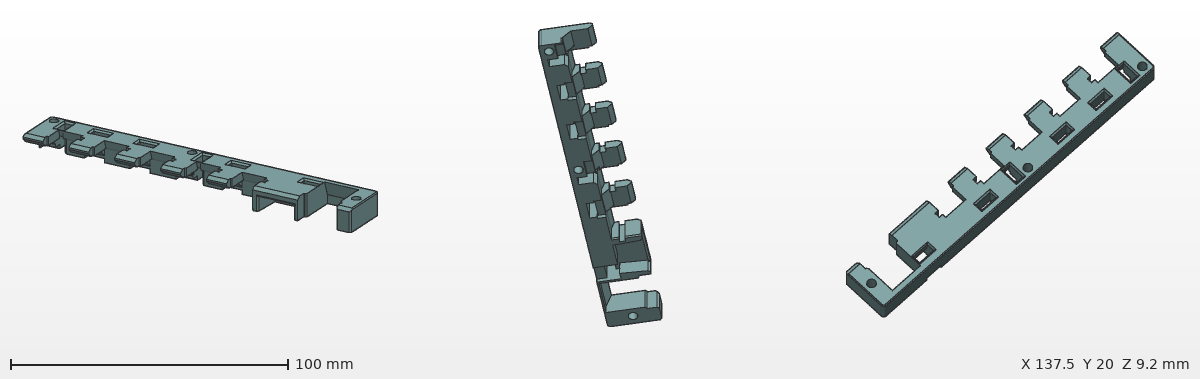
import cadquery as cq

LENGTH = 137.5
DEPTH = 20.0
HEIGHT = 9.2
CORNER_RADIUS = 1.2
TOP_CHAMFER = 0.4

TOOTH_COUNT = 5
TOOTH_PITCH = 19.2
TOOTH_WIDTH = 8.4
TOOTH_SHOULDER = 0.7
SHOULDER_Y = 2.9
TOOTH_UNDERSIDE_Z = 5.8
NOSE_TOP_Y = 1.5
NOSE_TOP_Z = 8.1
NOSE_LOW_Z = 7.4
NOSE_LOW_Y = NOSE_LOW_Z - TOOTH_UNDERSIDE_Z
NOTCH_WIDTH = 1.6
NOTCH_FRONT_Y = 6.0
NOTCH_BACK_Y = 8.2

GAP_BACK_Y = 9.9
RAMP_FRONT_Y = 8.0
RAMP_LOW_Z = 2.8
RAIL_FRONT_Y = RAMP_FRONT_Y + TOOTH_UNDERSIDE_Z - RAMP_LOW_Z
RAIL_CORNER_CHAMFER = 0.5
RECESS_HEIGHT = 1.6
RECESS_DEPTH = 3.0
RECESS_END_MARGIN = 0.7

HOOD_LEFT = TOOTH_COUNT * TOOTH_PITCH
HOOD_NECK_RIGHT = 116.3
HOOD_FRONT_RIGHT = 115.2
HOOD_FOOT_BEVEL_WIDTH = 0.3
HOOD_FOOT_BEVEL_HEIGHT = 0.7
CAVITY_LEFT = 99.1
CAVITY_RIGHT = 112.9
CAVITY_DRAFT = 0.5
CAVITY_MOUTH_BEVEL = 0.7

BAY_BACK_Y = 17.3
BAY_BACK_LOW_Y = 19.2
BAY_BACK_LOW_Z = 3.6
BAY_STEP_LOW_Y = 4.4
BAY_STEP_HIGH_Y = 5.0
BAY_STEP_BEVEL = BAY_STEP_HIGH_Y - BAY_STEP_LOW_Y
BLOCK_LEFT = 130.5
BLOCK_FRONT_LEFT = 131.3
BLOCK_CORNER_CHAMFER = 0.7

HOLE_DIAMETER = 3.5
HOLE_CENTERS = [(3.3, 16.5), (61.2, 16.5), (133.9, 10.0)]
OPENING_BEVEL = 0.7
FRONT_RIM_BEVEL = 0.4
WINDOW_LENGTH = 8.4
WINDOW_WIDTH = 4.4
WINDOW_FRONT_Y = 13.0
WINDOW_TEETH = (1, 2, 4)
HOOD_WINDOW_LEFT = 107.8
HOOD_WINDOW_FRONT_Y = 12.4
SLOT_MOUTHS = ((0, RAMP_FRONT_Y), (3, 9.6))
SLOT_OFFSET = 6.5
SLOT_WIDTH = 4.7
SLOT_FRONT_Y = 10.3
SLOT_LENGTH = 8.1
SLOT_MOUTH_FLARE = 1.2


def box(x0, x1, y0, y1, z0, z1):
    return cq.Workplane("XY").box(x1 - x0, y1 - y0, z1 - z0, centered=False).translate((x0, y0, z0))


def side_profile(points, x0, x1):
    """Extrude an outline of (y, z) points from x0 to x1."""
    return cq.Workplane("YZ", origin=(x0, 0, 0)).polyline(points).close().extrude(x1 - x0)


def plan_profile(points, z0, z1):
    """Extrude an outline of (x, y) points from z0 to z1."""
    return cq.Workplane("XY", origin=(0, 0, z0)).polyline(points).close().extrude(z1 - z0)


def tooth_left(index):
    return index * TOOTH_PITCH


def tooth_right(index):
    return tooth_left(index) + TOOTH_WIDTH


def blank():
    """Full block with rounded rear corners, a chamfered top rim and a bevelled front nose."""
    body = box(0, LENGTH, 0, DEPTH, 0, HEIGHT)
    body = body.edges("|Z and >Y").fillet(CORNER_RADIUS)
    body = body.edges("|Z and >X and <Y").chamfer(BLOCK_CORNER_CHAMFER)
    body = body.faces(">Z").edges("not <Y").chamfer(TOP_CHAMFER)
    nose = side_profile([(0, NOSE_TOP_Z), (NOSE_TOP_Y, HEIGHT), (0, HEIGHT)], 0, LENGTH)
    return body.cut(nose)


def tooth_undercut():
    """Space below the teeth, with a sloped lip at the front and a ramp down to the rail."""
    outline = [
        (0, 0),
        (0, NOSE_LOW_Z),
        (NOSE_LOW_Y, TOOTH_UNDERSIDE_Z),
        (RAMP_FRONT_Y, TOOTH_UNDERSIDE_Z),
        (RAIL_FRONT_Y, RAMP_LOW_Z),
        (RAIL_FRONT_Y, 0),
    ]
    return side_profile(outline, 0, HOOD_LEFT)


def rail_corner_chamfer():
    """Vertical chamfer where the rail meets the left end face."""
    chamfer_end_y = RAIL_FRONT_Y + RAIL_CORNER_CHAMFER
    corner = [(0, RAIL_FRONT_Y), (RAIL_CORNER_CHAMFER, RAIL_FRONT_Y), (0, chamfer_end_y)]
    return plan_profile(corner, 0, RAMP_LOW_Z)


def tooth_gap(index):
    """Gap to the right of a tooth; its rear face leans back below the top plate."""
    left = tooth_right(index)
    shoulder = left + TOOTH_SHOULDER
    right = tooth_left(index + 1)
    outline = [
        (0, 0),
        (0, HEIGHT),
        (GAP_BACK_Y, HEIGHT),
        (RAIL_FRONT_Y, TOOTH_UNDERSIDE_Z),
        (RAIL_FRONT_Y, 0),
    ]
    gap = side_profile(outline, shoulder, right)
    tip_relief = box(left, shoulder, 0, SHOULDER_Y, 0, HEIGHT)
    notch = box(right, right + NOTCH_WIDTH, NOTCH_FRONT_Y, NOTCH_BACK_Y, 0, HEIGHT)
    ramp_relief = box(left, shoulder, 0, RAIL_FRONT_Y, 0, TOOTH_UNDERSIDE_Z)
    return gap.union(tip_relief).union(ramp_relief).union(notch)


def rail_recess(index):
    """Low cut in the foot of the rail under a tooth."""
    left = max(tooth_left(index), RECESS_END_MARGIN)
    right = tooth_right(index)
    return box(left, right, RAIL_FRONT_Y, RAIL_FRONT_Y + RECESS_DEPTH, 0, RECESS_HEIGHT)


def hood_cavity():
    """Pocket below the hood with drafted side walls and a bevelled front mouth."""
    bevel = CAVITY_MOUTH_BEVEL
    throat_left = CAVITY_LEFT - CAVITY_DRAFT
    throat_right = CAVITY_RIGHT + CAVITY_DRAFT
    outline = [
        (throat_left - bevel, 0),
        (throat_right + bevel, 0),
        (throat_right, bevel),
        (CAVITY_RIGHT, RAIL_FRONT_Y),
        (CAVITY_LEFT, RAIL_FRONT_Y),
        (throat_left, bevel),
    ]
    pocket = plan_profile(outline, 0, TOOTH_UNDERSIDE_Z)
    lip = side_profile(
        [(0, TOOTH_UNDERSIDE_Z), (0, TOOTH_UNDERSIDE_Z + bevel), (bevel, TOOTH_UNDERSIDE_Z)],
        throat_left - bevel,
        throat_right + bevel,
    )
    return pocket.union(lip)


def hood_foot_bevel():
    """Steep bevel along the outer foot of the left hood wall."""
    outline = [
        (HOOD_LEFT, 0),
        (HOOD_LEFT + HOOD_FOOT_BEVEL_WIDTH, 0),
        (HOOD_LEFT, HOOD_FOOT_BEVEL_HEIGHT),
    ]
    return cq.Workplane("XZ").polyline(outline).close().extrude(-RAIL_FRONT_Y)


def bay():
    """Deep bay beside the end block; it narrows behind small bevelled steps."""
    front_outline = [
        (HOOD_FRONT_RIGHT, 0),
        (BLOCK_FRONT_LEFT + BLOCK_CORNER_CHAMFER, 0),
        (BLOCK_FRONT_LEFT, BLOCK_CORNER_CHAMFER),
        (BLOCK_FRONT_LEFT, BAY_STEP_LOW_Y),
        (BLOCK_LEFT + BAY_STEP_BEVEL, BAY_STEP_LOW_Y),
        (BLOCK_LEFT, BAY_STEP_HIGH_Y),
        (HOOD_NECK_RIGHT, BAY_STEP_HIGH_Y),
        (HOOD_NECK_RIGHT - BAY_STEP_BEVEL, BAY_STEP_LOW_Y),
        (HOOD_FRONT_RIGHT, BAY_STEP_LOW_Y),
    ]
    rear_outline = [
        (BAY_STEP_HIGH_Y, 0),
        (BAY_STEP_HIGH_Y, HEIGHT),
        (BAY_BACK_Y, HEIGHT),
        (BAY_BACK_LOW_Y, BAY_BACK_LOW_Z),
        (BAY_BACK_LOW_Y, 0),
    ]
    front = plan_profile(front_outline, 0, HEIGHT)
    return front.union(side_profile(rear_outline, HOOD_NECK_RIGHT, BLOCK_LEFT))


def bevelled_opening(left, front, length, width, front_bevel=OPENING_BEVEL):
    """Rectangular through opening with a bevelled top rim."""
    throat_length = length - 2 * OPENING_BEVEL
    throat_front = front + front_bevel
    throat_back = front + width - OPENING_BEVEL
    throat_width = throat_back - throat_front
    throat_left = left + OPENING_BEVEL
    throat = box(throat_left, throat_left + throat_length, throat_front, throat_back, 0, HEIGHT)
    throat_shift = (throat_front + throat_back) / 2 - (front + width / 2)
    rim = (
        cq.Workplane("XY", origin=(left + length / 2, front + width / 2, HEIGHT))
        .rect(length, width)
        .workplane(offset=-OPENING_BEVEL)
        .center(0, throat_shift)
        .rect(throat_length, throat_width)
        .loft()
    )
    return throat.union(rim)


def slot(index, mouth_front):
    """Slot beside a tooth whose lower front breaks out through the rail in a flared mouth."""
    left = tooth_left(index) + SLOT_OFFSET
    opening = bevelled_opening(left, SLOT_FRONT_Y, SLOT_WIDTH, SLOT_LENGTH, FRONT_RIM_BEVEL)
    throat_left = left + OPENING_BEVEL
    right = left + SLOT_WIDTH - OPENING_BEVEL
    flare = plan_profile(
        [
            (right, RAIL_FRONT_Y),
            (right + SLOT_MOUTH_FLARE, RAIL_FRONT_Y),
            (right, RAIL_FRONT_Y + SLOT_MOUTH_FLARE),
        ],
        0,
        TOOTH_UNDERSIDE_Z,
    )
    mouth = box(throat_left, right, mouth_front, RAIL_FRONT_Y, 0, TOOTH_UNDERSIDE_Z)
    return opening.union(mouth).union(flare)


def hood_window():
    """Window through the hood, open to the cavity below and through the foot of the rear wall."""
    left = HOOD_WINDOW_LEFT
    opening = bevelled_opening(left, HOOD_WINDOW_FRONT_Y, WINDOW_LENGTH, WINDOW_WIDTH, FRONT_RIM_BEVEL)
    throat_left = left + OPENING_BEVEL
    throat_right = left + WINDOW_LENGTH - OPENING_BEVEL
    throat_front = HOOD_WINDOW_FRONT_Y + FRONT_RIM_BEVEL
    cavity_link = box(throat_left, throat_right, RAIL_FRONT_Y, throat_front, 0, TOOTH_UNDERSIDE_Z)
    rear_notch = box(throat_left, throat_right, throat_front, DEPTH, 0, RECESS_HEIGHT)
    return opening.union(cavity_link).union(rear_notch)


result = blank().cut(tooth_undercut()).cut(rail_corner_chamfer())
for tooth in range(TOOTH_COUNT):
    result = result.cut(tooth_gap(tooth)).cut(rail_recess(tooth))

result = result.cut(hood_cavity()).cut(hood_foot_bevel()).cut(bay()).cut(hood_window())

for tooth in WINDOW_TEETH:
    window_left = tooth_left(tooth)
    result = result.cut(bevelled_opening(window_left, WINDOW_FRONT_Y, WINDOW_LENGTH, WINDOW_WIDTH))

for tooth, mouth_front_y in SLOT_MOUTHS:
    result = result.cut(slot(tooth, mouth_front_y))

for x, y in HOLE_CENTERS:
    hole = cq.Workplane("XY").center(x, y).circle(HOLE_DIAMETER / 2).extrude(HEIGHT)
    result = result.cut(hole)